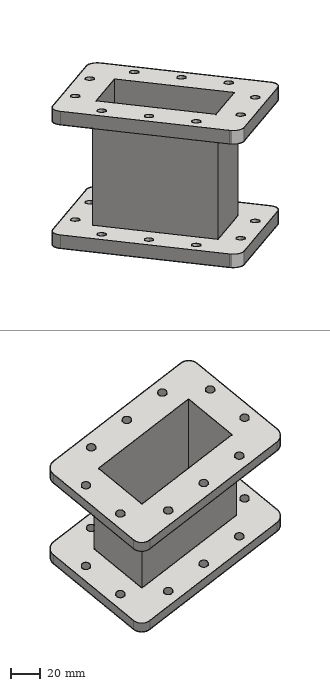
import cadquery as cq

flange_length = 138.1
flange_width = 95.3
total_height = 101.6

flange_thickness = 10.1
corner_radius = 8.0

opening_length = 86.5
opening_width = 43.1
wall = 2.1
tube_length = opening_length + 2 * wall
tube_width = opening_width + 2 * wall

hole_diameter = 6.4
hole_pitch = 34.1
long_row_offset = 38.1
short_row_offset = 59.7


def bolt_points():
    """Centres of the ten bolt holes around the opening."""
    points = []
    for side in (-1, 1):
        for step in (-1, 0, 1):
            points.append((step * hole_pitch, side * long_row_offset))
        for step in (-0.5, 0.5):
            points.append((side * short_row_offset, step * hole_pitch))
    return points


def flange(bottom):
    """Rounded plate with bolt holes, its underside at height bottom."""
    return (
        cq.Workplane("XY", origin=(0, 0, bottom))
        .rect(flange_length, flange_width)
        .extrude(flange_thickness)
        .edges("|Z")
        .fillet(corner_radius)
        .faces(">Z")
        .workplane(origin=(0, 0, 0))
        .pushPoints(bolt_points())
        .hole(hole_diameter)
    )


tube = cq.Workplane("XY").rect(tube_length, tube_width).extrude(total_height)
opening = cq.Workplane("XY").rect(opening_length, opening_width).extrude(total_height)

result = (
    tube
    .union(flange(0))
    .union(flange(total_height - flange_thickness))
    .cut(opening)
)